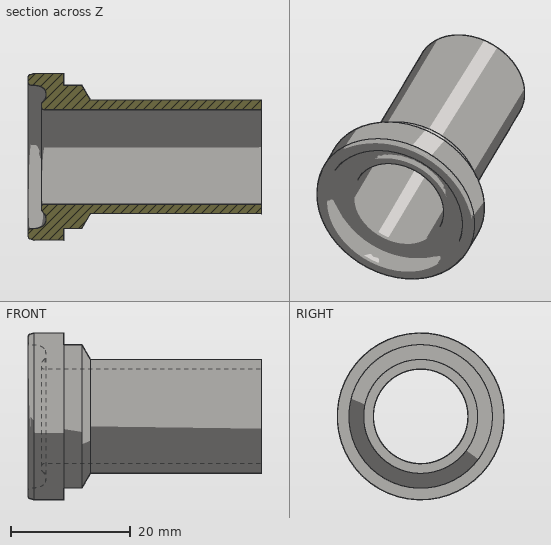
import cadquery as cq
import math

length = 39.0
flange_end = 6.0
collar_end = 9.0
cone_angle = math.radians(30)

flange_radius = 27.9 / 2
collar_radius = 24.0 / 2
tube_radius = 19.05 / 2
bore_radius = 15.75 / 2

taper_length = 0.98
taper_drop = 0.15
edge_radius = 0.5

groove_outer_radius = 11.97
groove_mid_radius = 10.53
groove_depth = 3.0
lip_recess = 2.22
lip_face_radius = 8.78
lip_wall_angle = math.radians(50)

cone_end = collar_end + (collar_radius - tube_radius) * math.tan(cone_angle)
nose_radius = flange_radius - taper_drop
diagonal = 1 - math.sqrt(0.5)


def quarter_round(sketch, corner, radius, from_side, to_side):
    """Round a square corner, arriving from one side of it and leaving to another.

    The sides are (x, y) directions pointing from the corner along its two edges.
    """
    start = (corner[0] + radius * from_side[0], corner[1] + radius * from_side[1])
    end = (corner[0] + radius * to_side[0], corner[1] + radius * to_side[1])
    middle = (
        corner[0] + radius * diagonal * (from_side[0] + to_side[0]),
        corner[1] + radius * diagonal * (from_side[1] + to_side[1]),
    )
    return sketch.lineTo(*start).threePointArc(middle, end)


def lip_round_point(angle):
    """Point on the groove-side round of the lip, turned by an angle from its flat face."""
    return (
        lip_recess + edge_radius * (1 - math.cos(angle)),
        lip_face_radius + edge_radius * math.sin(angle),
    )


BACK = (1, 0)
INWARD = (0, -1)
OUTWARD = (0, 1)

profile = (
    cq.Workplane("XY")
    .moveTo(length, bore_radius)
    .lineTo(length, tube_radius)
    .lineTo(cone_end, tube_radius)
    .lineTo(collar_end, collar_radius)
    .lineTo(flange_end, collar_radius)
    .lineTo(flange_end, flange_radius)
    .lineTo(taper_length, flange_radius)
)

profile = quarter_round(profile, (0, nose_radius), edge_radius, BACK, INWARD)
profile = quarter_round(profile, (0, groove_outer_radius), edge_radius, OUTWARD, BACK)

lip_edge = lip_round_point(lip_wall_angle)
lip_wall_direction = (-math.sin(lip_wall_angle), -math.cos(lip_wall_angle))
profile = profile.spline(
    [(groove_depth, groove_mid_radius), lip_edge],
    tangents=[BACK, lip_wall_direction],
    includeCurrent=True,
)

profile = profile.threePointArc(lip_round_point(lip_wall_angle / 2), lip_round_point(0))
profile = quarter_round(profile, (lip_recess, bore_radius), edge_radius, OUTWARD, BACK)

result = profile.close().revolve(360, (0, 0, 0), (1, 0, 0))